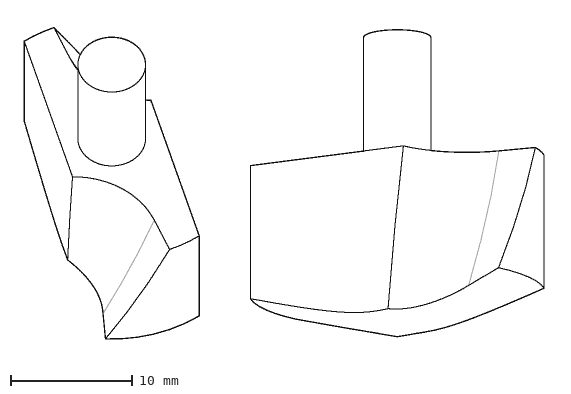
import cadquery as cq
import math

total_height = 25.4
body_top = 14.99
tip_height = 3.68
cut_diameter = 24.5
body_thickness = 8.38
shank_diameter = 5.6

flute_radius = 7.21
face_inner_radius = 9.02
face_angle_at_top = 6.8
twist_per_height = 2.244
flute_reach = cut_diameter


def make_body():
    """Pointed cylinder trimmed to a flat blade."""
    cut_radius = cut_diameter / 2
    pointed_cylinder = (
        cq.Workplane("XZ")
        .polyline([(0, 0), (cut_radius, tip_height), (cut_radius, body_top), (0, body_top)])
        .close()
        .revolve(360, (0, 0), (0, 1))
    )
    slab = cq.Workplane("XY").box(
        cut_diameter, body_thickness, body_top, centered=(True, True, False)
    )
    return pointed_cylinder.intersect(slab)


def make_flute_cutter():
    """Twisted cutter whose cutting face lies on a radial line at every height."""
    twist = twist_per_height * body_top
    arc_offset = flute_radius * math.sqrt(0.5)
    arc_left = face_inner_radius - flute_radius
    return (
        cq.Workplane("XY")
        .moveTo(flute_reach, 0)
        .lineTo(face_inner_radius, 0)
        .threePointArc(
            (face_inner_radius - arc_offset, arc_offset - flute_radius),
            (arc_left, -flute_radius),
        )
        .lineTo(arc_left, -flute_reach)
        .lineTo(flute_reach, -flute_reach)
        .close()
        .twistExtrude(body_top, twist)
        .rotate((0, 0, 0), (0, 0, 1), face_angle_at_top - twist)
    )


def make_shank():
    return (
        cq.Workplane("XY")
        .workplane(offset=body_top)
        .circle(shank_diameter / 2)
        .extrude(total_height - body_top)
    )


body = make_body()
flute_cutter = make_flute_cutter()
for flute_angle in (0, 180):
    body = body.cut(flute_cutter.rotate((0, 0, 0), (0, 0, 1), flute_angle))

result = body.union(make_shank())